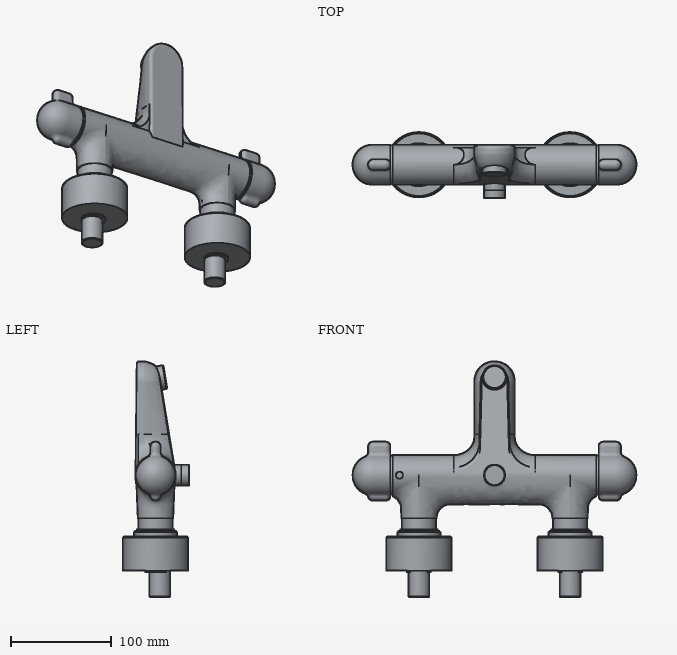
import cadquery as cq
import math


block_size = 200.0
pick_slack = 0.1

bar_radius = 20.0
overall_length = 282.0
dome_centre_x = overall_length / 2 - bar_radius
knob_inner_x = 103.2
groove_width = 2.4
groove_diameter = 39.0
groove_ring_radius = 24.5
stop_button_x = -94.3
stop_button_diameter = 7.0
stop_button_end_y = -20.1

lever_x = 114.3
lever_width = 10.6
lever_length = 22.6
lever_top_z = 33.4
lower_lever_depth = 25.4
lever_foot_radius = 4.5

leg_spacing = 150.0
leg_xs = (-leg_spacing / 2, leg_spacing / 2)
belly_top_z = -1.2
belly_bottom_z = -29.2
leg_blend_radius = 13.0
leg_top_width = 36.4
leg_top_depth = 38.4
leg_diameter = 35.4
leg_end_z = -42.8
leg_taper_length = 38.0
neck_diameter = 34.35
neck_end_z = -53.8
neck_step_diameter = 37.0
flange_diameter = 43.0
flange_top_z = -55.4
flange_chamfer = 1.5
escutcheon_diameter = 65.0
escutcheon_top_z = -60.6
escutcheon_bottom_z = -94.8
escutcheon_chamfer = 1.5
collar_diameter = 24.0
collar_offset_y = -2.0
collar_length = 1.5
pipe_diameter = 21.0
pipe_offset_y = -4.3
pipe_end_z = -121.05
pipe_chamfer = 0.8

outlet_diameter = 21.0
outlet_tip_diameter = 20.95
outlet_step_y = -25.4
outlet_end_y = -33.5
outlet_chamfer = 0.6

spout_top_z = 113.0
spout_half_width = 20.2
spout_arc_z = spout_top_z - spout_half_width
spout_back_slope = -0.011
spout_mid_y = 11.3
spout_back_fillet = 3.0
face_slope = 0.163
face_angle = math.atan(face_slope)
face_foot_y = -bar_radius * math.cos(face_angle)
face_foot_z = bar_radius * math.sin(face_angle)
face_half_width_top = 13.22
face_half_width_foot = 15.6
face_edge_inset = 0.8
face_edge_start = 0.96
spout_stations = 6

flare_radius = 20.2
flare_top_z = 40.5
flare_half_length = spout_half_width + flare_radius
flare_back_y = 17.0
flare_stations = 4
flare_root_depth = 2.2
face_root_depth = 0.5

aerator_z = 96.5
aerator_diameter = 24.0
aerator_height = 5.4
aerator_root = 3.0
aerator_chamfer = 1.0


def cylinder_x(radius, x_start, x_end):
    """Cylinder on the bar axis."""
    return cq.Workplane("YZ").workplane(offset=x_start).circle(radius).extrude(x_end - x_start)


def disc_y(diameter, x, y_start, y_end):
    """Cylinder along Y through a point of the bar axis."""
    return cq.Workplane("XZ", origin=(x, y_start, 0)).circle(diameter / 2).extrude(y_start - y_end)


def disc_z(diameter, x, y, z_top, z_bottom):
    """Cylinder along Z between two heights."""
    return cq.Workplane("XY", origin=(x, y, z_bottom)).circle(diameter / 2).extrude(z_top - z_bottom)


def face_y(z):
    """Y of the flat sloping spout face at height z."""
    return face_foot_y + face_slope * (z - face_foot_z)


def bar_top_z(y):
    """Height of the upper bar surface at y."""
    return math.sqrt(bar_radius ** 2 - y ** 2)


def blend_leg(run, x):
    """Join one tapered leg to a run of the body with a round blend."""
    leg = (
        cq.Workplane("XY", origin=(x, 0, leg_end_z))
        .circle(leg_diameter / 2)
        .workplane(offset=leg_taper_length)
        .ellipse(leg_top_width / 2, leg_top_depth / 2)
        .loft()
    )
    joined = run.union(leg)
    seams = [
        edge
        for edge in joined.edges().vals()
        if edge.BoundingBox().zmin > leg_end_z + pick_slack
        and edge.BoundingBox().zmax < belly_top_z - pick_slack
    ]
    return joined.newObject(seams).fillet(leg_blend_radius)


def make_bar():
    """Round bar outside the legs and a deeper half-elliptic belly between them."""
    outer_run = cylinder_x(bar_radius, -dome_centre_x, dome_centre_x)
    belly_run = (
        cq.Workplane("YZ", origin=(-dome_centre_x, 0, 0))
        .moveTo(-bar_radius, belly_top_z)
        .ellipseArc(bar_radius, belly_top_z - belly_bottom_z, 180, 360)
        .lineTo(bar_radius, 0)
        .threePointArc((0, bar_radius), (-bar_radius, 0))
        .close()
        .extrude(2 * dome_centre_x)
    )
    for x in leg_xs:
        outer_run = blend_leg(outer_run, x)
        belly_run = blend_leg(belly_run, x)
    between_legs = cq.Workplane("XY").box(leg_spacing, block_size, block_size)
    return outer_run.cut(between_legs).union(belly_run.intersect(between_legs))


def make_supply(x):
    """Neck, flange, escutcheon and eccentric wall pipe below one leg."""
    flange = disc_z(flange_diameter, x, 0, flange_top_z, escutcheon_top_z)
    escutcheon = disc_z(escutcheon_diameter, x, 0, escutcheon_top_z, escutcheon_bottom_z)
    pipe = disc_z(pipe_diameter, x, pipe_offset_y, escutcheon_bottom_z, pipe_end_z)
    collar_end_z = escutcheon_bottom_z - collar_length
    return (
        escutcheon.faces(">Z").chamfer(escutcheon_chamfer)
        .union(disc_z(neck_diameter, x, 0, leg_end_z, escutcheon_top_z))
        .union(disc_z(neck_step_diameter, x, 0, neck_end_z, escutcheon_top_z))
        .union(flange.faces(">Z").chamfer(flange_chamfer))
        .union(disc_z(collar_diameter, x, collar_offset_y, escutcheon_bottom_z, collar_end_z))
        .union(pipe.faces("<Z").chamfer(pipe_chamfer))
    )


def make_lever(tip_z):
    """Capsule-shaped lever with a full-round tip, standing from the knob axis towards tip_z."""
    radius = lever_width / 2
    straight = lever_length - lever_width
    round_z = tip_z - math.copysign(radius, tip_z)
    lever = cq.Workplane("XY").center(lever_x, 0).slot2D(lever_length, lever_width).extrude(round_z)
    crest = cq.Workplane("YZ", origin=(lever_x - straight / 2, 0, round_z)).circle(radius).extrude(straight)
    lever = lever.union(crest)
    for end_x in (lever_x - straight / 2, lever_x + straight / 2):
        lever = lever.union(cq.Workplane("XY", origin=(end_x, 0, round_z)).sphere(radius))
    return lever


def round_lever_foot(knob, tip_z):
    """Fillet the low seam where the lever with this tip leaves the knob."""
    lowest_seam = bar_top_z(lever_width / 2) - pick_slack
    seam = []
    for edge in knob.edges().vals():
        box = edge.BoundingBox()
        beside_lever = max(abs(box.ymin), abs(box.ymax)) < lever_width / 2 + pick_slack
        heights = sorted(math.copysign(1, tip_z) * z for z in (box.zmin, box.zmax))
        if beside_lever and lowest_seam < heights[0] and heights[1] < bar_radius + pick_slack:
            seam.append(edge)
    return knob.newObject(seam).fillet(lever_foot_radius)


def make_knob():
    """Domed knob on the +X end with a lever above and a shorter one below."""
    dome = cq.Workplane("XY", origin=(dome_centre_x, 0, 0)).sphere(bar_radius)
    knob = cylinder_x(bar_radius, leg_spacing / 2, dome_centre_x).union(dome)
    for tip_z in (lever_top_z, -lower_lever_depth):
        knob = round_lever_foot(knob.union(make_lever(tip_z)), tip_z)
    inside = cq.Workplane("XY").box(2 * knob_inner_x, block_size, block_size)
    return knob.cut(inside)


def make_groove():
    """Ring to cut away between the bar and the +X knob."""
    outer = cylinder_x(groove_ring_radius, knob_inner_x - groove_width, knob_inner_x)
    core = cylinder_x(groove_diameter / 2, knob_inner_x - groove_width, knob_inner_x)
    return outer.cut(core)


def face_half_width(z):
    """Half width of the sloping front face, narrowing evenly from the bar to the tip."""
    share = (z - face_foot_z) / (spout_arc_z - face_foot_z)
    return face_half_width_foot + share * (face_half_width_top - face_half_width_foot)


def spout_section_half_width(fraction, z):
    """Half width at z, narrowing elliptically from full width (fraction 0) to the front face (1)."""
    shrink = 1 - (face_half_width(z) / spout_half_width) ** 2
    return spout_half_width * math.sqrt(1 - shrink * fraction ** 2)


def spout_section(plane_y, slope, half_foot, half_top):
    """Round-topped outline on a plane through y = plane_y at the bar axis, leaning by slope."""
    stretch = math.hypot(1, slope)
    plane = cq.Plane(origin=(0, plane_y, 0), xDir=(1, 0, 0), normal=(0, -1, slope))
    foot = face_foot_z * stretch
    arc_centre = spout_arc_z * stretch
    return (
        cq.Workplane(plane)
        .moveTo(-half_foot, foot)
        .lineTo(half_foot, foot)
        .lineTo(half_top, arc_centre)
        .threePointArc((0, arc_centre + half_top), (-half_top, arc_centre))
        .close()
        .wire()
        .val()
    )


def make_spout():
    """Upright blade with a rounded-edge back, narrowing to a sloping flat face at the front."""

    def section(fraction, inset):
        return spout_section(
            spout_mid_y + fraction * (face_y(0) - spout_mid_y),
            fraction * face_slope,
            spout_section_half_width(fraction, face_foot_z) - inset,
            spout_section_half_width(fraction, spout_arc_z) - inset,
        )

    sections = [
        section(face_edge_start * station / (spout_stations - 1), 0) for station in range(spout_stations)
    ]
    front = cq.Workplane(cq.Solid.makeLoft(sections))
    face_edge = cq.Workplane(cq.Solid.makeLoft([sections[-1], section(1, face_edge_inset)], True))
    back_section = spout_section(bar_radius, spout_back_slope, spout_half_width, spout_half_width)
    back = cq.Workplane(cq.Solid.makeLoft([back_section, sections[0]], True))
    back = back.faces(">Y").edges("not <Z").fillet(spout_back_fillet)
    return front.union(face_edge).union(back)


def flare_section(top_y, top_half_width, foot_y, foot_z, root_depth):
    """Flat section with concave ends, from the blade sides down to a foot on the bar."""
    slope = (top_y - foot_y) / (flare_top_z - foot_z)
    height = math.hypot(top_y - foot_y, flare_top_z - foot_z)
    plane = cq.Plane(origin=(0, foot_y, foot_z), xDir=(1, 0, 0), normal=(0, -1, slope))
    reach = flare_half_length - top_half_width
    bow = (1 - math.sqrt(0.5)) * reach
    return (
        cq.Workplane(plane)
        .moveTo(-flare_half_length, -root_depth)
        .lineTo(flare_half_length, -root_depth)
        .lineTo(flare_half_length, 0)
        .threePointArc((top_half_width + bow, bow), (top_half_width, reach))
        .lineTo(top_half_width, height)
        .lineTo(-top_half_width, height)
        .lineTo(-top_half_width, reach)
        .threePointArc((-top_half_width - bow, bow), (-flare_half_length, 0))
        .close()
        .wire()
        .val()
    )


def make_flare():
    """Concave flare that spreads the foot of the spout along the bar."""

    def section(fraction, root_depth, inset):
        front_foot_z = face_foot_z + root_depth * math.cos(face_angle)
        front_foot_y = face_y(front_foot_z)
        front_foot_radius = math.hypot(front_foot_y, front_foot_z)
        foot_radius = bar_radius + fraction * (front_foot_radius - bar_radius)
        foot_y = fraction * front_foot_y
        return flare_section(
            spout_mid_y + fraction * (face_y(flare_top_z) - spout_mid_y),
            spout_section_half_width(fraction, flare_top_z) - inset,
            foot_y,
            math.sqrt(foot_radius ** 2 - foot_y ** 2),
            root_depth,
        )

    sections = [
        section(face_edge_start * station / (flare_stations - 1), flare_root_depth, 0)
        for station in range(flare_stations)
    ]
    face_section = section(1, face_root_depth, face_edge_inset)
    back_section = flare_section(
        flare_back_y, spout_half_width, flare_back_y, bar_top_z(flare_back_y), flare_root_depth
    )
    front = cq.Workplane(cq.Solid.makeLoft(sections))
    face_edge = cq.Workplane(cq.Solid.makeLoft([sections[-1], face_section], True))
    back = cq.Workplane(cq.Solid.makeLoft([back_section, sections[0]], True))
    return front.union(face_edge).union(back)


def make_aerator():
    """Chamfered disc standing square to the sloping spout face."""
    base = cq.Plane(
        origin=(0, face_y(aerator_z), aerator_z), xDir=(1, 0, 0), normal=(0, -1, face_slope)
    )
    root = cq.Workplane(base).workplane(offset=-aerator_root).circle(aerator_diameter / 2)
    return root.extrude(aerator_root + aerator_height).faces("<Y").chamfer(aerator_chamfer)


knob = make_knob()
groove = make_groove()
body = make_bar().intersect(cq.Workplane("XY").box(2 * knob_inner_x, block_size, block_size))
for side_knob in (knob, knob.mirror("YZ")):
    body = body.union(side_knob)
for side_groove in (groove, groove.mirror("YZ")):
    body = body.cut(side_groove)
for x in leg_xs:
    body = body.union(make_supply(x))
body = body.union(make_spout()).union(make_flare()).union(make_aerator())
body = body.union(disc_y(outlet_diameter, 0, 0, outlet_step_y))
outlet_tip = disc_y(outlet_tip_diameter, 0, outlet_step_y, outlet_end_y)
body = body.union(outlet_tip.faces("<Y").chamfer(outlet_chamfer))
body = body.union(disc_y(stop_button_diameter, stop_button_x, 0, stop_button_end_y))
result = body